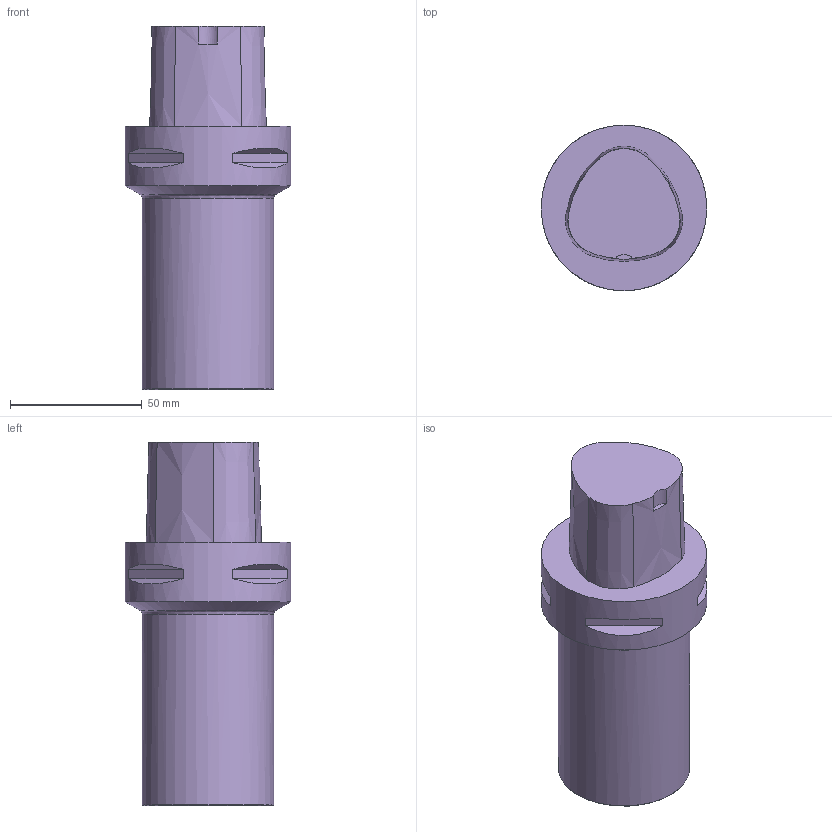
import cadquery as cq
import math

total_height = 138.0
shank_height = 38.0
flange_top_z = total_height - shank_height

shaft_radius = 25.0
flange_radius = 31.5
flange_rim_height = 22.6
flange_cone_angle = 30.0
shaft_root_fillet = 1.5
shaft_end_chamfer = 0.3

lobe_count = 3
lobe_reach = 23.45
side_reach = 20.3
lobe_arc_radius = 14.4
shank_taper = 1 / 20

groove_count = 4
groove_first_angle = 45.0
groove_drop = 12.0
groove_floor_distance = 27.9
groove_floor_width = 3.5
groove_flank_angle = 30.0

notch_radius = 5.0
notch_height = 6.7
notch_floor_distance = 17.8

cut_margin = 2.0


def polar(radius, angle):
    return radius * math.cos(math.radians(angle)), radius * math.sin(math.radians(angle))


def make_body():
    rim_bottom_z = flange_top_z - flange_rim_height
    cone_height = (flange_radius - shaft_radius) * math.tan(math.radians(flange_cone_angle))
    root_z = rim_bottom_z - cone_height
    body = (
        cq.Workplane("XZ")
        .lineTo(shaft_radius, 0)
        .lineTo(shaft_radius, root_z)
        .lineTo(flange_radius, rim_bottom_z)
        .lineTo(flange_radius, flange_top_z)
        .lineTo(0, flange_top_z)
        .close()
        .revolve(360, (0, 0), (0, 1))
    )
    root_edge = cq.selectors.NearestToPointSelector((0, 0, root_z))
    body = body.edges(root_edge).fillet(shaft_root_fillet)
    return body.faces("<Z").edges().chamfer(shaft_end_chamfer)


def shank_outline(inset, z):
    """Closed lobed wire at height z, offset inwards by inset."""
    half_pitch = 180.0 / lobe_count
    lobe_center = lobe_reach - lobe_arc_radius
    along, across = polar(lobe_center, half_pitch)
    offset = side_reach - along
    side_arc_radius = (across**2 + offset**2 - lobe_arc_radius**2) / (2 * (offset - lobe_arc_radius))
    join_turn = math.degrees(math.atan2(across, side_arc_radius - offset))
    join_along = side_reach - side_arc_radius * (1 - math.cos(math.radians(join_turn)))
    join_across = side_arc_radius * math.sin(math.radians(join_turn))
    inset_along, inset_across = polar(inset, join_turn)
    join_along -= inset_along
    join_across -= inset_across
    join_radius = math.hypot(join_along, join_across)
    join_angle = math.degrees(math.atan2(join_across, join_along))

    side_angle = -90.0
    outline = cq.Workplane("XY", origin=(0, 0, z)).moveTo(*polar(join_radius, side_angle - join_angle))
    for lobe in range(lobe_count):
        side = side_angle + lobe * 2 * half_pitch
        next_side = side + 2 * half_pitch
        side_end = polar(join_radius, side + join_angle)
        lobe_end = polar(join_radius, next_side - join_angle)
        outline = outline.threePointArc(polar(side_reach - inset, side), side_end)
        outline = outline.threePointArc(polar(lobe_reach - inset, side + half_pitch), lobe_end)
    return outline.close().val()


def make_shank():
    top_inset = shank_height * shank_taper / 2
    outlines = [shank_outline(0, flange_top_z), shank_outline(top_inset, total_height)]
    return cq.Workplane(cq.Solid.makeLoft(outlines, True))


def make_groove(angle):
    outer_distance = flange_radius + cut_margin
    flank_slope = math.tan(math.radians(groove_flank_angle))
    half_floor = groove_floor_width / 2
    half_mouth = half_floor + (outer_distance - groove_floor_distance) * flank_slope
    middle_z = flange_top_z - groove_drop
    return (
        cq.Workplane("XZ")
        .moveTo(groove_floor_distance, middle_z - half_floor)
        .lineTo(outer_distance, middle_z - half_mouth)
        .lineTo(outer_distance, middle_z + half_mouth)
        .lineTo(groove_floor_distance, middle_z + half_floor)
        .close()
        .extrude(flange_radius, both=True)
        .rotate((0, 0, 0), (0, 0, 1), angle)
    )


def make_notch():
    return (
        cq.Workplane("XY", origin=(0, -notch_floor_distance - notch_radius, total_height - notch_height))
        .circle(notch_radius)
        .extrude(notch_height + cut_margin)
    )


result = make_body().union(make_shank())
for groove_index in range(groove_count):
    result = result.cut(make_groove(groove_first_angle + groove_index * 360 / groove_count))
result = result.cut(make_notch())